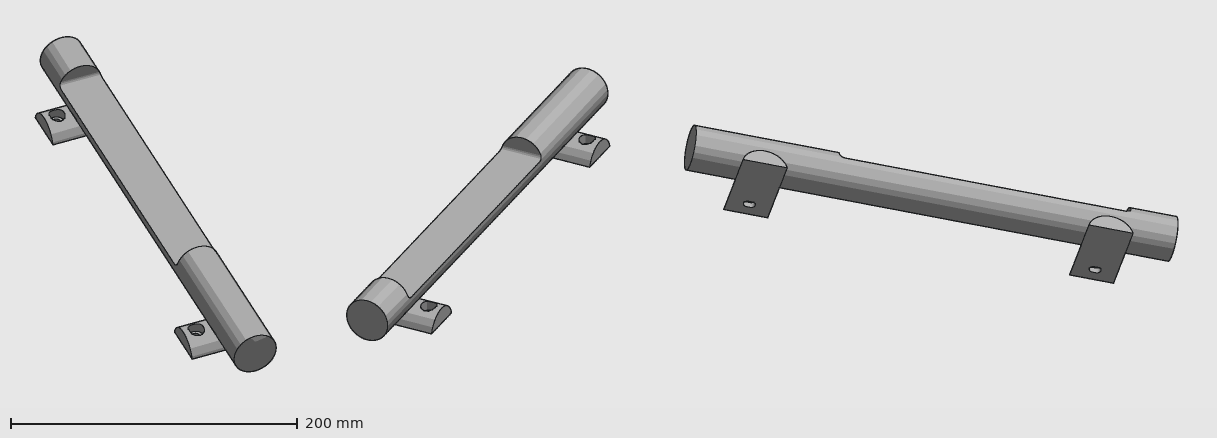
import cadquery as cq

overall_length = 351.0
bar_diameter = 32.0
dome_height = 1.5
bar_radius = bar_diameter / 2
body_half_length = overall_length / 2 - dome_height

foot_spacing = 250.0
foot_width = 32.0
foot_height = 12.3
foot_front = -33.7
foot_back = 18.3
foot_length = foot_back - foot_front
foot_drop = 4.2
foot_base_z = -bar_radius - foot_drop

cutout_start = -140.5
cutout_end = 70.2
cutout_depth = 13.5
cutout_fillet = 4.0

hole_y = foot_front + 10.0
hole_length = 8.5
hole_width = 5.5
recess_length = 12.5
recess_width = 10.5
recess_floor_height = 4.5


def make_bar():
    """Revolve half of the rod's outline about X; each dome is a spherical cap."""
    dome_radius = (bar_radius**2 + dome_height**2) / (2 * dome_height)
    mid_z = bar_radius / 2
    mid_x = overall_length / 2 - dome_radius + (dome_radius**2 - mid_z**2) ** 0.5
    return (
        cq.Workplane("XZ")
        .moveTo(-overall_length / 2, 0)
        .threePointArc((-mid_x, mid_z), (-body_half_length, bar_radius))
        .lineTo(body_half_length, bar_radius)
        .threePointArc((mid_x, mid_z), (overall_length / 2, 0))
        .close()
        .revolve(360, (0, 0, 0), (1, 0, 0))
    )


def make_cutout():
    """Block that clears the top of the bar, with rounded floor corners."""
    return (
        cq.Workplane("XY", origin=((cutout_start + cutout_end) / 2, 0, bar_radius - cutout_depth))
        .rect(cutout_end - cutout_start, 2 * bar_diameter)
        .extrude(bar_diameter)
        .edges("|Y and <Z")
        .fillet(cutout_fillet)
    )


def make_foot(x):
    """Segment-shaped rod with its flat side down."""
    return (
        cq.Workplane("XZ", origin=(x, foot_back, foot_base_z))
        .moveTo(-foot_width / 2, 0)
        .threePointArc((0, foot_height), (foot_width / 2, 0))
        .close()
        .extrude(foot_length)
    )


def make_hole(x):
    """Oblong through hole plus the wider recess above it."""
    base = cq.Workplane("XY", origin=(x, hole_y, foot_base_z))
    through = base.slot2D(hole_length, hole_width).extrude(foot_height)
    recess = (
        base.workplane(offset=recess_floor_height)
        .slot2D(recess_length, recess_width)
        .extrude(foot_height - recess_floor_height)
    )
    return through.union(recess)


result = make_bar().cut(make_cutout())
for foot_x in (-foot_spacing / 2, foot_spacing / 2):
    result = result.union(make_foot(foot_x).cut(make_hole(foot_x)))